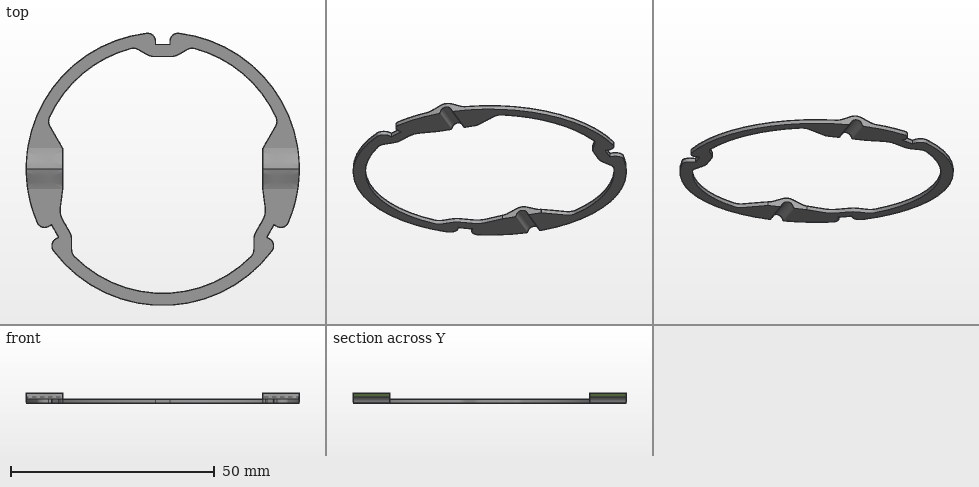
import cadquery as cq
import math

OUTER_RADIUS = 33.5
RING_WIDTH = 3.0
THICKNESS = 1.0
INNER_RADIUS = OUTER_RADIUS - RING_WIDTH

NOTCH_ANGLES = (90, 210, 330)
NOTCH_WIDTH = 3.5
NOTCH_DEPTH = 3.0
NOTCH_MOUTH_FILLET = 2.0
NOTCH_FLOOR = OUTER_RADIUS - NOTCH_DEPTH
LIP_FACE = NOTCH_FLOOR - RING_WIDTH
LIP_HALF_LENGTH = 3.0
FLANK_ANGLE = math.radians(30)

PAD_FACE = 24.5
BUMP_HALF_LENGTH = 5.0
BUMP_HEIGHT = 2.5
TUNNEL_RADIUS = 1.5
TUNNEL_FOOT_FILLET = 0.5

LIP_CORNER_FILLET = 4.0
PAD_VALLEY_FILLET = 5.0
OPENING_FILLET = 2.5

RADIUS_TOLERANCE = 0.01
REACH = 2 * OUTER_RADIUS
FLANK_RUN = 12.0


def prism(points):
    """Plate-thick prism over a closed polygon."""
    return cq.Workplane("XY").polyline(points).close().extrude(THICKNESS)


def place_at(body, angle):
    """Turn a body built about the +X axis to the given angle."""
    return body.rotate((0, 0, 0), (0, 0, 1), angle)


def turned(x, y, angle):
    """Position of (x, y) after turning it about the ring centre."""
    turn = math.radians(angle)
    return (
        x * math.cos(turn) - y * math.sin(turn),
        x * math.sin(turn) + y * math.cos(turn),
    )


def fillet_upright(body, point, radius):
    """Round the vertical edge nearest to a point in the plate plane."""
    nearest = cq.selectors.NearestToPointSelector((*point, THICKNESS / 2))
    return body.edges("|Z").edges(nearest).fillet(radius)


def ring_blank():
    """Solid disc with the three notches and their rounded mouths."""
    disc = cq.Workplane("XY").circle(OUTER_RADIUS).extrude(THICKNESS)
    notch = (
        cq.Workplane("XY")
        .box(REACH, NOTCH_WIDTH, THICKNESS, centered=(False, True, False))
        .translate((NOTCH_FLOOR, 0, 0))
    )
    half_width = NOTCH_WIDTH / 2
    mouth = math.sqrt(OUTER_RADIUS**2 - half_width**2)
    for angle in NOTCH_ANGLES:
        disc = disc.cut(place_at(notch, angle))
    for angle in NOTCH_ANGLES:
        for side in (half_width, -half_width):
            disc = fillet_upright(disc, turned(mouth, side, angle), NOTCH_MOUTH_FILLET)
    return disc


def lip():
    """Trapezoid behind one notch, pointing along +X."""
    far_x = LIP_FACE + FLANK_RUN * math.sin(FLANK_ANGLE)
    far_y = LIP_HALF_LENGTH + FLANK_RUN * math.cos(FLANK_ANGLE)
    return prism([
        (LIP_FACE, -LIP_HALF_LENGTH),
        (LIP_FACE, LIP_HALF_LENGTH),
        (far_x, far_y),
        (far_x, -far_y),
    ])


def pad():
    """Wide area on the +X side, running down to the lip of the lower right notch."""
    lip_angle = NOTCH_ANGLES[-1]
    return prism([
        (PAD_FACE, BUMP_HALF_LENGTH),
        (
            PAD_FACE + FLANK_RUN * math.sin(FLANK_ANGLE),
            BUMP_HALF_LENGTH + FLANK_RUN * math.cos(FLANK_ANGLE),
        ),
        (REACH, 0),
        turned(OUTER_RADIUS, 0, lip_angle),
        turned(LIP_FACE, LIP_HALF_LENGTH, lip_angle),
        (PAD_FACE, -BUMP_HALF_LENGTH),
    ])


def opening():
    """Inner cut-out: a round hole less the lips and pads, with rounded corners."""
    hole = cq.Workplane("XY").circle(INNER_RADIUS).extrude(THICKNESS)
    for angle in NOTCH_ANGLES:
        hole = hole.cut(place_at(lip(), angle))
    hole = hole.cut(pad()).cut(pad().mirror("YZ"))
    lip_corner_radius = math.hypot(LIP_FACE, LIP_HALF_LENGTH)

    def off_the_lips(edge):
        centre = edge.Center()
        return abs(math.hypot(centre.x, centre.y) - lip_corner_radius) > RADIUS_TOLERANCE

    hole = hole.edges("|Z").filter(off_the_lips).fillet(OPENING_FILLET)

    left_lip, right_lip = NOTCH_ANGLES[1:]
    valleys = ((left_lip, -LIP_HALF_LENGTH), (right_lip, LIP_HALF_LENGTH))
    for angle in NOTCH_ANGLES:
        for side in (LIP_HALF_LENGTH, -LIP_HALF_LENGTH):
            radius = PAD_VALLEY_FILLET if (angle, side) in valleys else LIP_CORNER_FILLET
            hole = fillet_upright(hole, turned(LIP_FACE, side, angle), radius)
    return hole


def bumps():
    """Arched strips along X over both pads, trimmed to the rim."""
    third = BUMP_HALF_LENGTH / 3
    profile = (
        cq.Workplane("YZ")
        .moveTo(-BUMP_HALF_LENGTH, 0)
        .lineTo(-BUMP_HALF_LENGTH, THICKNESS)
        .bezier([
            (-BUMP_HALF_LENGTH, THICKNESS),
            (-2 * third, THICKNESS),
            (-third, BUMP_HEIGHT),
            (0, BUMP_HEIGHT),
        ])
        .bezier([
            (0, BUMP_HEIGHT),
            (third, BUMP_HEIGHT),
            (2 * third, THICKNESS),
            (BUMP_HALF_LENGTH, THICKNESS),
        ])
        .lineTo(BUMP_HALF_LENGTH, 0)
        .close()
    )
    strip = profile.extrude(OUTER_RADIUS, both=True)
    rim = cq.Workplane("XY").circle(OUTER_RADIUS).extrude(BUMP_HEIGHT)
    gap = cq.Workplane("XY").box(2 * PAD_FACE, REACH, REACH)
    return strip.intersect(rim).cut(gap)


def tunnel():
    """Half-round channel along X under both bumps, flared by its rounded feet."""
    foot_y = math.sqrt((TUNNEL_RADIUS + TUNNEL_FOOT_FILLET) ** 2 - TUNNEL_FOOT_FILLET**2)
    toward_arch = TUNNEL_RADIUS / (TUNNEL_RADIUS + TUNNEL_FOOT_FILLET)
    join_y = foot_y * toward_arch
    join_z = TUNNEL_FOOT_FILLET * toward_arch
    half_turn = math.acos(join_z / TUNNEL_RADIUS) / 2
    mid_y = foot_y - TUNNEL_FOOT_FILLET * math.sin(half_turn)
    mid_z = TUNNEL_FOOT_FILLET * (1 - math.cos(half_turn))
    return (
        cq.Workplane("YZ")
        .moveTo(-foot_y, 0)
        .threePointArc((-mid_y, mid_z), (-join_y, join_z))
        .threePointArc((0, TUNNEL_RADIUS), (join_y, join_z))
        .threePointArc((mid_y, mid_z), (foot_y, 0))
        .close()
        .extrude(REACH, both=True)
    )


result = ring_blank().cut(opening()).union(bumps()).cut(tunnel())